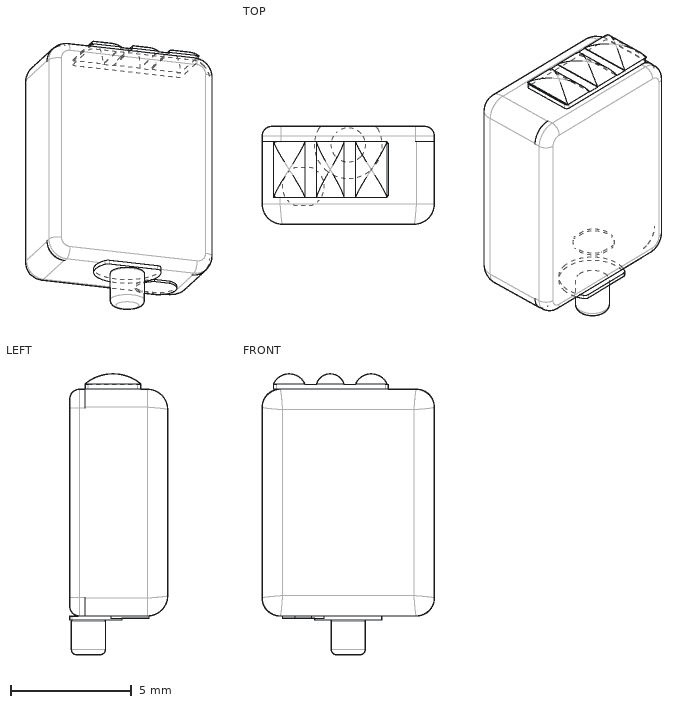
import cadquery as cq

width = 7.14
depth = 4.06
height = 9.39
back_y = depth / 2
corner_radius = 0.75
front_edge_radius = 0.85
back_band_depth = 0.64
back_band_corner_radius = 0.78
back_edge_radius = 0.41
band_front_y = back_y - back_band_depth

strip_left = -3.1
strip_length = 4.76
strip_depth = 2.3
strip_height = 0.2
strip_corner_radius = 0.13
strip_middle_y = band_front_y - strip_depth / 2

lens_rim = 0.02
lens_rise = 0.42
lens_gap = 0.48
outer_lens_width = 1.3
middle_lens_width = 1.14
lens_widths = [outer_lens_width, middle_lens_width, outer_lens_width]
lens_base_z = height + strip_height

plunger_y = 1.26
plunger_radius = 0.71
plunger_tip_radius = 0.23
plunger_top_radius = 0.06
flange_radius = 1.4
flange_thickness = 0.16
flange_corner_radius = 0.2

foot_x = -1.86
foot_y = -0.47
foot_radius = 0.86
foot_width = 1.58
foot_thickness = 0.09

overall_height = 11.64
lens_top_z = lens_base_z + lens_rim + lens_rise
plunger_bottom_z = lens_top_z - overall_height


def rounded_slab(slab_front_y, slab_depth, radius):
    """A slab of the housing's width and height with its four corners along Y rounded."""
    slab = cq.Workplane("XY", origin=(0, slab_front_y + slab_depth / 2, 0))
    slab = slab.box(width, slab_depth, height, centered=(True, True, False))
    return slab.edges("|Y").fillet(radius)


def make_housing():
    front = rounded_slab(-depth / 2, depth - back_band_depth, corner_radius)
    front = front.faces("<Y").edges().fillet(front_edge_radius)
    band = rounded_slab(band_front_y, back_band_depth, back_band_corner_radius)
    band = band.faces(">Y").edges().fillet(back_edge_radius)
    return front.union(band).clean()


def arch(plane, middle, span, length):
    """A rim topped by an arc, drawn on the plane and extruded by length to both sides of it."""
    left = middle - span / 2
    right = middle + span / 2
    rim_z = lens_base_z + lens_rim
    outline = (
        cq.Workplane(plane)
        .moveTo(left, lens_base_z)
        .lineTo(left, rim_z)
        .threePointArc((middle, lens_top_z), (right, rim_z))
        .lineTo(right, lens_base_z)
        .close()
    )
    return outline.extrude(length, both=True)


def make_lens_strip():
    strip_middle_x = strip_left + strip_length / 2
    strip = cq.Workplane("XY", origin=(strip_middle_x, strip_middle_y, height))
    strip = strip.rect(strip_length, strip_depth).extrude(strip_height)
    strip = strip.edges("|Z").fillet(strip_corner_radius)
    lens_left = strip_left
    for lens_width in lens_widths:
        arch_across = arch("XZ", lens_left + lens_width / 2, lens_width, depth)
        arch_along = arch("YZ", strip_middle_y, strip_depth, width)
        strip = strip.union(arch_across.intersect(arch_along))
        lens_left += lens_width + lens_gap
    return strip


def make_flange():
    """A disc cut flat where it meets the plane of the housing's back."""
    disc = cq.Workplane("XY").center(0, plunger_y).circle(flange_radius).extrude(-flange_thickness)
    disc = disc.intersect(cq.Workplane("XY").box(width, depth, height))
    return disc.edges("|Z and >Y").fillet(flange_corner_radius)


def make_plunger():
    pin = cq.Workplane("XY", origin=(0, plunger_y, plunger_bottom_z)).circle(plunger_radius)
    pin = pin.extrude(-flange_thickness - plunger_bottom_z)
    pin = pin.faces("<Z").edges().fillet(plunger_tip_radius)
    return pin.faces(">Z").edges().fillet(plunger_top_radius)


def make_foot():
    disc = cq.Workplane("XY").circle(foot_radius).extrude(-foot_thickness)
    disc = disc.intersect(cq.Workplane("XY").box(width, foot_width, height))
    return disc.translate((foot_x, foot_y, 0))


housing = make_housing()
lens_strip = make_lens_strip()
flange = make_flange()
plunger = make_plunger()
foot = make_foot()

bodies = [housing, lens_strip, flange, plunger, foot]
result = cq.Compound.makeCompound([body.solids().val() for body in bodies])